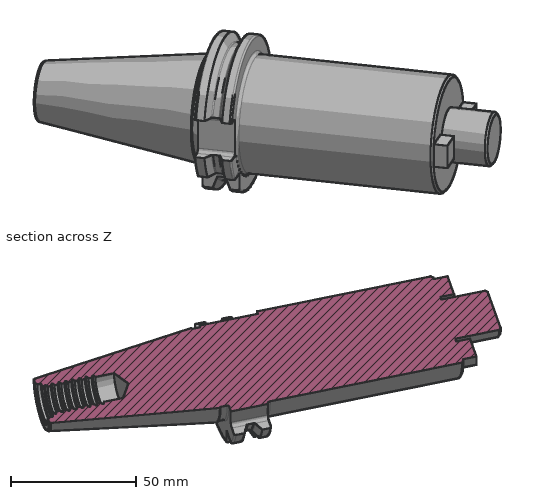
import cadquery as cq
import math

taper_length = 67.8
flange_start = 71.5
flange_end = 86.9
body_end = 168.3
overall_length = 187.2

taper_diameter = 44.4
taper_radius = taper_diameter / 2
taper_rate = 7 / 24
small_end_radius = taper_radius - taper_length * taper_rate / 2
small_end_chamfer_length = 0.7
small_end_chamfer_height = 0.47
neck_radius = 21.7
neck_fillet = 0.5

flange_diameter = 63.5
flange_radius = flange_diameter / 2
flange_fillet = 0.7
groove_center = 79.4
groove_width = 7.3
groove_radius = 27.7
groove_half_angle = math.radians(27)
groove_fillet = 0.5

body_radius = 24.0
body_fillet = 1.3
body_chamfer = 1.0
arbor_diameter = 22.0
arbor_radius = arbor_diameter / 2
arbor_chamfer = 1.0

slot_width = 16.1
slot_fillet = 1.6
shallow_slot_floor = 25.0
deep_slot_floor = 22.7
deep_slot_end = 95.5

notch_offset = 18.4
notch_fillet = 1.0

key_width = 9.7
key_length = 5.6
key_inner = 12.2
key_outer = 22.3

mouth_radius = 9.7
pilot_radius = 9.0
pilot_depth = 2.2
thread_minor_radius = 6.7
thread_major_radius = 7.9
thread_pitch = 2.8
thread_groove_width = 1.5
thread_turns = 8
bore_depth = 31.8
drill_point_angle = math.radians(59)


def revolve_about_x(profile):
    """Close a half profile and turn it once around the part's axis."""
    return profile.close().revolve(360, (0, 0, 0), (1, 0, 0))


def make_shank():
    """Taper, relief neck and flange blank."""
    chamfered_radius = small_end_radius - small_end_chamfer_height
    shoulder_radius = small_end_radius + small_end_chamfer_length * taper_rate / 2
    neck_start = taper_length + taper_radius - neck_radius
    return revolve_about_x(
        cq.Workplane("XY")
        .lineTo(0, chamfered_radius)
        .lineTo(small_end_chamfer_length, shoulder_radius)
        .lineTo(taper_length, taper_radius)
        .lineTo(neck_start, neck_radius)
        .lineTo(flange_start - neck_fillet, neck_radius)
        .radiusArc((flange_start, neck_radius + neck_fillet), -neck_fillet)
        .lineTo(flange_start, flange_radius - flange_fillet)
        .radiusArc((flange_start + flange_fillet, flange_radius), flange_fillet)
        .lineTo(flange_end - flange_fillet, flange_radius)
        .radiusArc((flange_end, flange_radius - flange_fillet), flange_fillet)
        .lineTo(flange_end, 0)
    )


def make_body():
    """Cylindrical body, filleted into the flange, and the arbor at its end."""
    return revolve_about_x(
        cq.Workplane("XY")
        .moveTo(flange_end, 0)
        .lineTo(flange_end, body_radius + body_fillet)
        .radiusArc((flange_end + body_fillet, body_radius), -body_fillet)
        .lineTo(body_end - body_chamfer, body_radius)
        .lineTo(body_end, body_radius - body_chamfer)
        .lineTo(body_end, arbor_radius)
        .lineTo(overall_length - arbor_chamfer, arbor_radius)
        .lineTo(overall_length, arbor_radius - arbor_chamfer)
        .lineTo(overall_length, 0)
    )


def make_groove():
    """Ring that cuts the V groove, rounded along both bottom corners."""
    half_top = groove_width / 2
    half_bottom = half_top - (flange_radius - groove_radius) * math.tan(groove_half_angle)
    ring = revolve_about_x(
        cq.Workplane("XY")
        .moveTo(groove_center - half_top, flange_radius)
        .lineTo(groove_center - half_bottom, groove_radius)
        .lineTo(groove_center + half_bottom, groove_radius)
        .lineTo(groove_center + half_top, flange_radius)
    )
    bottom_edges = cq.selectors.RadiusNthSelector(0)
    return ring.edges("%CIRCLE").edges(bottom_edges).fillet(groove_fillet)


def make_slot(floor, start, end, side):
    """Cutter for a drive slot; side is +1 for +Y and -1 for -Y."""
    depth = flange_radius - floor
    inner_edges = "<Y" if side > 0 else ">Y"
    return (
        cq.Workplane("XY")
        .box(end - start, depth, slot_width)
        .faces(inner_edges)
        .edges("|X")
        .fillet(slot_fillet)
        .translate(((start + end) / 2, side * (floor + depth / 2), 0))
    )


def make_notch():
    """Cutter for the square notch at the -Y, -Z quarter of the flange."""
    size = flange_radius - notch_offset
    center = -(notch_offset + size / 2)
    return (
        cq.Workplane("XY")
        .box(flange_end - flange_start, size, size)
        .edges("|X and >Y and >Z")
        .fillet(notch_fillet)
        .translate(((flange_start + flange_end) / 2, center, center))
    )


def make_key(side):
    """Rectangular driving key standing on the body's end face."""
    return (
        cq.Workplane("XY")
        .box(key_length, key_outer - key_inner, key_width)
        .translate((body_end + key_length / 2, side * (key_inner + key_outer) / 2, 0))
    )


def make_bore():
    """Countersunk pilot, grooved thread and drill point entering from the small end."""
    thread_start = pilot_depth + thread_groove_width / 2
    tip = bore_depth + thread_minor_radius / math.tan(drill_point_angle)
    profile = (
        cq.Workplane("XY")
        .lineTo(0, mouth_radius)
        .lineTo(mouth_radius - pilot_radius, pilot_radius)
        .lineTo(pilot_depth, pilot_radius)
        .lineTo(pilot_depth, thread_major_radius)
        .lineTo(thread_start, thread_minor_radius)
    )
    for turn in range(thread_turns):
        turn_start = thread_start + turn * thread_pitch
        profile = (
            profile
            .lineTo(turn_start + thread_groove_width / 2, thread_major_radius)
            .lineTo(turn_start + thread_groove_width, thread_minor_radius)
            .lineTo(turn_start + thread_pitch, thread_minor_radius)
        )
    return revolve_about_x(profile.lineTo(bore_depth, thread_minor_radius).lineTo(tip, 0))


result = make_shank().cut(make_groove()).union(make_body())
result = result.cut(make_slot(deep_slot_floor, flange_start, deep_slot_end, 1))
result = result.cut(make_slot(shallow_slot_floor, flange_start, flange_end, -1))
result = result.cut(make_notch())
for key_side in (1, -1):
    result = result.union(make_key(key_side))
result = result.cut(make_bore())